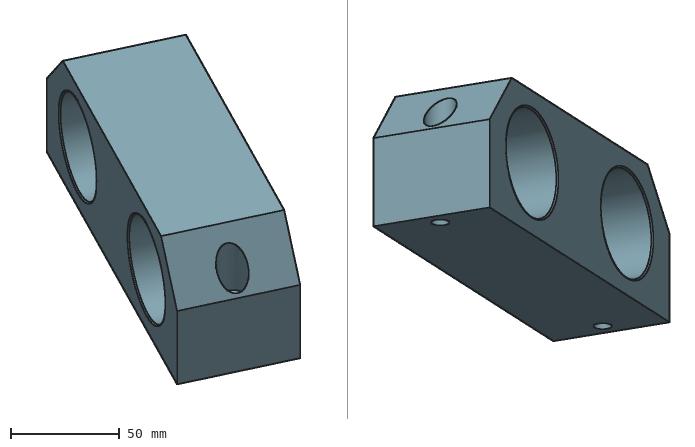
import cadquery as cq

length = 184.0
width = 60.0
height = 70.0
corner_run = 22.6
corner_drop = 27.0

bore_diameter = 52.0
bore_spacing = 97.0
bore_height = height / 2
bore_chamfer = 0.7

screw_spacing = 166.0
screw_diameter = 8.5
head_diameter = 15.0
head_seat_height = height / 2


def make_block():
    """Rectangular block with both upper end corners sloped off."""
    end_x = length / 2
    top_x = end_x - corner_run
    shoulder_z = height - corner_drop
    outline = [
        (-end_x, 0),
        (end_x, 0),
        (end_x, shoulder_z),
        (top_x, height),
        (-top_x, height),
        (-end_x, shoulder_z),
    ]
    return cq.Workplane("XZ").polyline(outline).close().extrude(width / 2, both=True)


def make_bore(x):
    """Cutter for one bore, flared at both ends by the edge chamfers."""
    radius = bore_diameter / 2
    half_width = width / 2
    flared_radius = radius + bore_chamfer
    straight_end = half_width - bore_chamfer
    profile = [
        (0, -half_width),
        (flared_radius, -half_width),
        (radius, -straight_end),
        (radius, straight_end),
        (flared_radius, half_width),
        (0, half_width),
    ]
    cutter = cq.Workplane("XY").polyline(profile).close().revolve(360, (0, 0), (0, 1))
    return cutter.translate((x, 0, bore_height))


def make_screw_hole(x):
    """Cutter for one screw hole and the head recess above it."""
    shank = cq.Workplane("XY").circle(screw_diameter / 2).extrude(height)
    head = (
        cq.Workplane("XY", origin=(0, 0, head_seat_height))
        .circle(head_diameter / 2)
        .extrude(height - head_seat_height)
    )
    return shank.union(head).translate((x, 0, 0))


result = make_block()
for side in (-1, 1):
    result = result.cut(make_bore(side * bore_spacing / 2))
    result = result.cut(make_screw_hole(side * screw_spacing / 2))